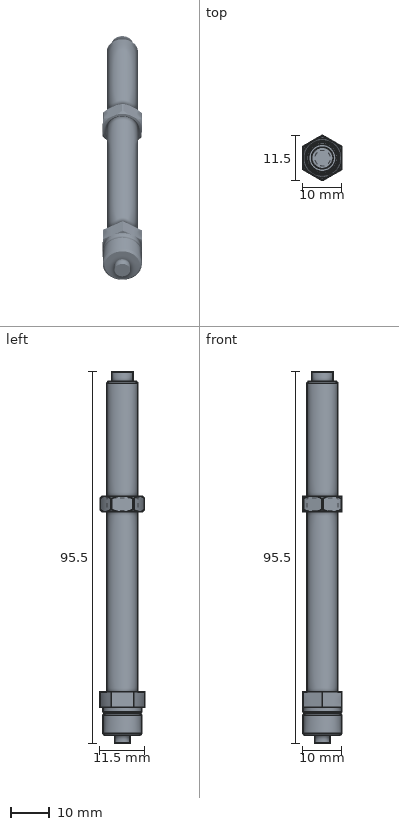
import cadquery as cq
import math

length = 95.5
hex_width = 10.0

pin_diameter = 4.0
pin_length = 2.0
collar_diameter = 10.0
collar_chamfer = 0.5
groove_bottom = 7.2
groove_depth = 0.5
groove_height = 2 * groove_depth
hex_bottom = 9.2
hex_height = 4.0
barrel_diameter = 8.0
barrel_chamfer_radial = 0.5
barrel_chamfer_axial = 0.6
tip_diameter = 5.5
tip_length = 2.4

nut_width = 10.0
nut_bottom = 59.5
nut_height = 4.0
nut_chamfer = 0.6
nut_corner_diameter = 11.4
nut_countersink = 0.4


def hexagon(width, bottom, height):
    """Hexagonal prism with two flats facing -X and +X."""
    corner_diameter = width / math.cos(math.pi / 6)
    return (
        cq.Workplane("XY", origin=(0, 0, bottom))
        .polygon(6, corner_diameter)
        .extrude(height)
        .rotate((0, 0, 0), (0, 0, 1), 30)
    )


def make_housing():
    """Turned body with pin, grooved collar, barrel and tip, plus its hexagon."""
    collar_radius = collar_diameter / 2
    barrel_radius = barrel_diameter / 2
    barrel_top = length - tip_length
    turned = (
        cq.Workplane("XZ")
        .lineTo(pin_diameter / 2, 0)
        .lineTo(pin_diameter / 2, pin_length)
        .lineTo(collar_radius - collar_chamfer, pin_length)
        .lineTo(collar_radius, pin_length + collar_chamfer)
        .lineTo(collar_radius, groove_bottom)
        .lineTo(collar_radius - groove_depth, groove_bottom + groove_height / 2)
        .lineTo(collar_radius, groove_bottom + groove_height)
        .lineTo(collar_radius, hex_bottom)
        .lineTo(barrel_radius, hex_bottom)
        .lineTo(barrel_radius, barrel_top - barrel_chamfer_axial)
        .lineTo(barrel_radius - barrel_chamfer_radial, barrel_top)
        .lineTo(tip_diameter / 2, barrel_top)
        .lineTo(tip_diameter / 2, length)
        .lineTo(0, length)
        .close()
        .revolve(360, (0, 0), (0, 1))
    )
    return turned.union(hexagon(hex_width, hex_bottom, hex_height))


def make_lock_nut():
    """Hexagonal nut with chamfered corners and a countersunk bore that fits the barrel."""
    corner_envelope = (
        cq.Workplane("XY", origin=(0, 0, nut_bottom))
        .circle(nut_corner_diameter / 2)
        .extrude(nut_height)
        .edges()
        .chamfer(nut_chamfer)
    )
    bore_radius = barrel_diameter / 2
    mouth_radius = bore_radius + nut_countersink
    nut_top = nut_bottom + nut_height
    bore = (
        cq.Workplane("XZ")
        .moveTo(0, nut_bottom)
        .lineTo(mouth_radius, nut_bottom)
        .lineTo(bore_radius, nut_bottom + nut_countersink)
        .lineTo(bore_radius, nut_top - nut_countersink)
        .lineTo(mouth_radius, nut_top)
        .lineTo(0, nut_top)
        .close()
        .revolve(360, (0, 0), (0, 1))
    )
    return hexagon(nut_width, nut_bottom, nut_height).intersect(corner_envelope).cut(bore)


housing = make_housing()
lock_nut = make_lock_nut()
result = cq.Compound.makeCompound([housing.val(), lock_nut.val()])